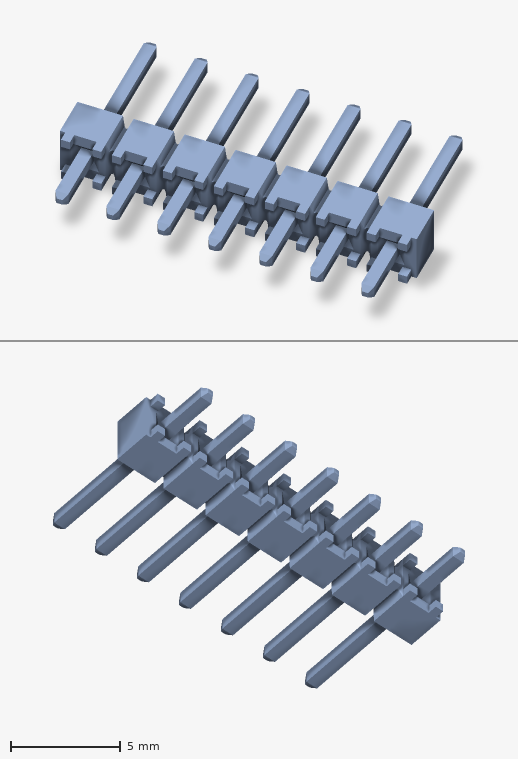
import cadquery as cq


PIN_COUNT = 7
PITCH = 2.54
ROW_LENGTH = PIN_COUNT * PITCH

BODY_HEIGHT = PITCH
BODY_DEPTH = 2.032

PIN_SIDE = 0.64
PIN_FRONT_LENGTH = 3.048
PIN_BACK_LENGTH = 5.84
PIN_LENGTH = PIN_FRONT_LENGTH + BODY_DEPTH + PIN_BACK_LENGTH
PIN_TIP_SIDE = 0.29
PIN_TIP_LENGTH = 0.30

BODY_FRONT_Y = -PIN_LENGTH / 2 + PIN_FRONT_LENGTH
BODY_BACK_Y = BODY_FRONT_Y + BODY_DEPTH

BREAK_WIDTH = 0.53
BREAK_FLOOR_WIDTH = 0.25
BREAK_DEPTH = 0.508
V_GROOVE_DEPTH = BREAK_WIDTH / 2

FOOT_WIDTH = 0.445
FOOT_HEIGHT = 0.46
FOOT_LENGTH = 0.508
FOOT_OUTER_X = (PITCH - BREAK_WIDTH) / 2

RECESS_SIDE = 1.34
RECESS_DEPTH = 0.254

PIN_XS = [(i - (PIN_COUNT - 1) / 2) * PITCH for i in range(PIN_COUNT)]
BREAK_XS = [x + PITCH / 2 for x in PIN_XS[:-1]]


def square_frustum(x, start_y, start_side, end_y, end_side):
    """Square section about the pin axis, changing linearly between two Y positions."""
    return (
        cq.Workplane("XZ", origin=(x, start_y, 0))
        .rect(start_side, start_side)
        .workplane(offset=start_y - end_y)
        .rect(end_side, end_side)
        .loft(ruled=True)
    )


def pin(x):
    """Square pin with a tapered tip at each end."""
    front_y = -PIN_LENGTH / 2
    back_y = PIN_LENGTH / 2
    front_shoulder_y = front_y + PIN_TIP_LENGTH
    back_shoulder_y = back_y - PIN_TIP_LENGTH
    shank = square_frustum(x, front_shoulder_y, PIN_SIDE, back_shoulder_y, PIN_SIDE)
    front_tip = square_frustum(x, front_shoulder_y, PIN_SIDE, front_y, PIN_TIP_SIDE)
    back_tip = square_frustum(x, back_shoulder_y, PIN_SIDE, back_y, PIN_TIP_SIDE)
    return shank.union(front_tip).union(back_tip)


def recess(x):
    """Cutter for the tapered recess around one pin."""
    return square_frustum(x, BODY_FRONT_Y, RECESS_SIDE, BODY_FRONT_Y + RECESS_DEPTH, PIN_SIDE)


def feet(x):
    """Four stand-off feet at the corners of one position."""
    return (
        cq.Workplane("XZ", origin=(x, BODY_FRONT_Y, 0))
        .rect(2 * FOOT_OUTER_X - FOOT_WIDTH, BODY_HEIGHT - FOOT_HEIGHT, forConstruction=True)
        .vertices()
        .rect(FOOT_WIDTH, FOOT_HEIGHT)
        .extrude(FOOT_LENGTH)
    )


def break_line(x):
    """Cutter for one break line: trapezoid notches above and below, V grooves front and back."""
    cutter = cq.Workplane("XY")
    for side in (-1, 1):
        outer_z = side * BODY_HEIGHT / 2
        floor_z = outer_z - side * BREAK_DEPTH
        notch = (
            cq.Workplane("XZ", origin=(x, BODY_BACK_Y, 0))
            .moveTo(-BREAK_WIDTH / 2, outer_z)
            .lineTo(-BREAK_FLOOR_WIDTH / 2, floor_z)
            .lineTo(BREAK_FLOOR_WIDTH / 2, floor_z)
            .lineTo(BREAK_WIDTH / 2, outer_z)
            .close()
            .extrude(BODY_DEPTH)
        )
        cutter = cutter.add(notch)
    for face_y, inward in ((BODY_FRONT_Y, 1), (BODY_BACK_Y, -1)):
        groove = (
            cq.Workplane("XY", origin=(x, face_y, -BODY_HEIGHT / 2))
            .moveTo(-BREAK_WIDTH / 2, 0)
            .lineTo(0, inward * V_GROOVE_DEPTH)
            .lineTo(BREAK_WIDTH / 2, 0)
            .close()
            .extrude(BODY_HEIGHT)
        )
        cutter = cutter.add(groove)
    return cutter.combine()


def header():
    """Body strip with its break lines, recesses, feet and pins."""
    body_center_y = (BODY_FRONT_Y + BODY_BACK_Y) / 2
    part = cq.Workplane("XY").box(ROW_LENGTH, BODY_DEPTH, BODY_HEIGHT).translate((0, body_center_y, 0))
    for x in BREAK_XS:
        part = part.cut(break_line(x))
    for x in PIN_XS:
        part = part.cut(recess(x)).union(feet(x)).union(pin(x))
    return part


result = header()